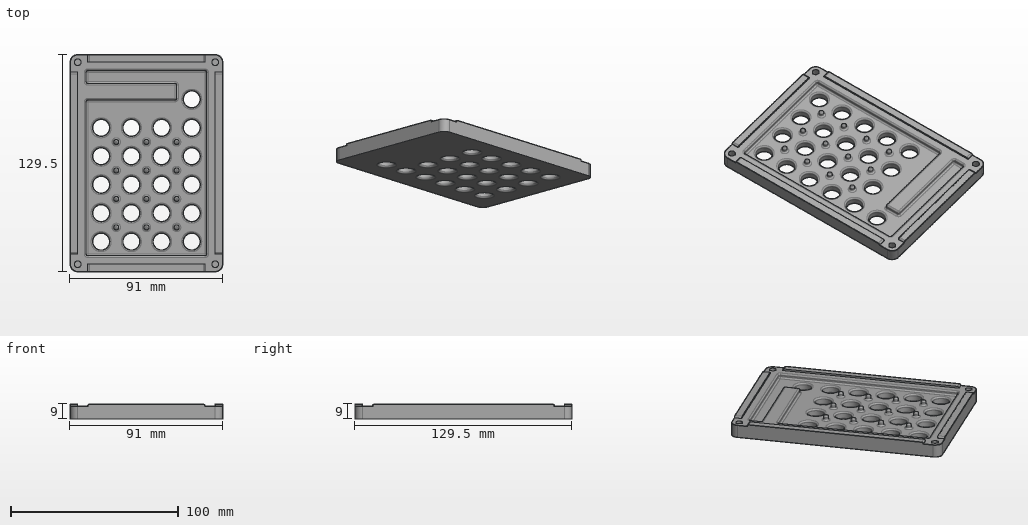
import cadquery as cq

width = 91.0
length = 129.5
height = 9.0
corner_radius = 4.5
floor_thickness = 5.0
outer_edge_chamfer = 0.2

rail_height = 1.0
rail_width = 4.5
rail_end_gap = 10.5
plate_top = height - rail_height

edge_radius = 1.0
pocket_margin = 9.6
pocket_width = width - 2 * pocket_margin
pocket_length = length - 2 * pocket_margin
pocket_depth = plate_top - floor_thickness

tongue_tip_x = 18.0
tongue_width = 10.0
tongue_y = 42.6

hole_diameter = 10.0
columns = 4
rows = 5
column_pitch = 18.0
row_pitch = 17.0
first_column_x = -(columns - 1) / 2 * column_pitch
last_column_x = -first_column_x
first_row_y = -46.7

peg_diameter = 3.0
peg_height = 3.0

corner_hole_diameter = 4.0
corner_hole_depth = 5.0
corner_hole_inset = 4.5


def make_plate():
    plate = cq.Workplane("XY").box(width, length, plate_top, centered=(True, True, False))
    return plate.edges("|Z").fillet(corner_radius)


def make_rail(side_length):
    """Rail along X with quarter-round ends, its outer face on y = 0 and its body towards +Y."""
    half_foot = side_length / 2 - rail_end_gap
    half_crest = half_foot - rail_height
    return (
        cq.Workplane("XZ")
        .moveTo(-half_foot, plate_top)
        .lineTo(half_foot, plate_top)
        .radiusArc((half_crest, height), -rail_height)
        .lineTo(-half_crest, height)
        .radiusArc((-half_foot, plate_top), -rail_height)
        .close()
        .extrude(-rail_width)
    )


def add_rails(body):
    end_rail = make_rail(width).translate((0, -length / 2, 0))
    side_rail = make_rail(length).translate((0, -width / 2, 0)).rotate((0, 0, 0), (0, 0, 1), 90)
    for rail in (end_rail, side_rail):
        opposite_rail = rail.rotate((0, 0, 0), (0, 0, 1), 180)
        body = body.union(rail).union(opposite_rail)
    return body


def chamfer_outer_edge(body):
    """Bevel the whole upper outer edge, which climbs over the rail ends."""
    sides = body.faces("<X or >X or <Y or >Y")
    return sides.edges("not (|Z or <Z)").chamfer(outer_edge_chamfer)


def make_pocket():
    """Pocket volume with the tongue left out and rounded corners and floor edges."""
    tongue_reach = tongue_tip_x + pocket_width / 2
    pocket = (
        cq.Workplane("XY", origin=(0, 0, floor_thickness))
        .rect(pocket_width, pocket_length)
        .extrude(pocket_depth)
    )
    tongue = (
        cq.Workplane("XY", origin=(tongue_tip_x - tongue_reach / 2, tongue_y, floor_thickness))
        .rect(tongue_reach, tongue_width)
        .extrude(pocket_depth)
    )
    pocket = pocket.cut(tongue)
    return pocket.edges("|Z").fillet(edge_radius).faces("<Z").edges().fillet(edge_radius)


def round_pocket_rim(body):
    """Round the pocket edges that lie in the plate top."""
    reach_x = pocket_width / 2 + edge_radius
    reach_y = pocket_length / 2 + edge_radius
    lower_corner = (-reach_x, -reach_y, plate_top - rail_height / 2)
    upper_corner = (reach_x, reach_y, plate_top + rail_height / 2)
    rim = cq.selectors.BoxSelector(lower_corner, upper_corner, boundingbox=True)
    return body.edges(rim).fillet(edge_radius)


def hole_centres():
    centres = [
        (first_column_x + column * column_pitch, first_row_y + row * row_pitch)
        for column in range(columns)
        for row in range(rows)
    ]
    return centres + [(last_column_x, first_row_y + rows * row_pitch)]


def peg_centres():
    return [
        (first_column_x + (column + 0.5) * column_pitch, first_row_y + (row + 0.5) * row_pitch)
        for column in range(columns - 1)
        for row in range(rows - 1)
    ]


def make_hole_cutter():
    """Through hole whose upper and lower edges are rounded outwards."""
    radius = hole_diameter / 2
    mouth_radius = radius + edge_radius
    return (
        cq.Workplane("XZ")
        .lineTo(mouth_radius, 0)
        .radiusArc((radius, edge_radius), edge_radius)
        .lineTo(radius, floor_thickness - edge_radius)
        .radiusArc((mouth_radius, floor_thickness), edge_radius)
        .lineTo(0, floor_thickness)
        .close()
        .revolve(360, (0, 0), (0, 1))
    )


def make_peg():
    """Peg with a flared foot and a rounded tip, rooted in the floor."""
    radius = peg_diameter / 2
    tip_z = floor_thickness + peg_height
    return (
        cq.Workplane("XZ")
        .moveTo(0, floor_thickness)
        .lineTo(radius + edge_radius, floor_thickness)
        .radiusArc((radius, floor_thickness + edge_radius), edge_radius)
        .lineTo(radius, tip_z - edge_radius)
        .radiusArc((radius - edge_radius, tip_z), -edge_radius)
        .lineTo(0, tip_z)
        .close()
        .revolve(360, (0, 0), (0, 1))
    )


def drill_corner_holes(body):
    drills = (
        cq.Workplane("XY", origin=(0, 0, plate_top))
        .rect(width - 2 * corner_hole_inset, length - 2 * corner_hole_inset, forConstruction=True)
        .vertices()
        .circle(corner_hole_diameter / 2)
        .extrude(-corner_hole_depth)
    )
    return body.cut(drills)


result = chamfer_outer_edge(add_rails(make_plate()))
result = round_pocket_rim(result.cut(make_pocket()))
result = drill_corner_holes(result)
hole_cutter = make_hole_cutter()
for x, y in hole_centres():
    result = result.cut(hole_cutter.translate((x, y, 0)))
peg = make_peg()
for x, y in peg_centres():
    result = result.union(peg.translate((x, y, 0)))